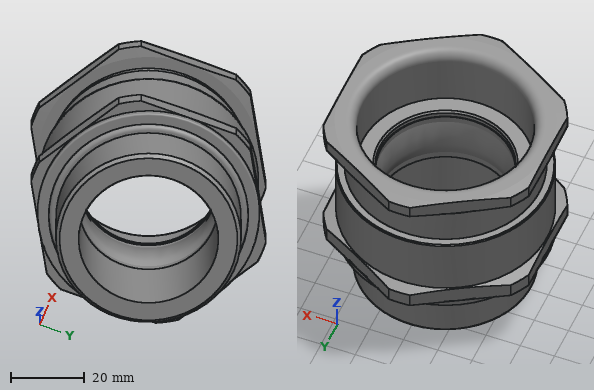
import cadquery as cq
import math

total_height = 57.75
across_corners = 66.0
across_flats = 60.0
flat_radius = across_flats / 2
corner_radius = across_corners / 2
tool_clearance = 0.65
thread_radius = 27.4

spigot_radius = 25.0
spigot_length = 16.0
spigot_chamfer = 1.0
flange_top = 17.95
flange_edge_fillet = 0.45
housing_hex_top = 22.9
housing_hex_bevel = 0.85
barrel_radius = 29.7
barrel_top = 40.0
barrel_chamfer = 0.3
bead_ring_radius = 25.8
bead_section_radius = 1.2
bead_height = 15.65

nut_hex_height = 4.4
nut_hex_bevel = 0.45
nut_hex_bottom = total_height - nut_hex_height
neck_radius = 26.65
thread_top = 50.2
nut_bore_radius = 24.0
nut_rim_fillet = 3.0
nut_floor_top = barrel_top
nut_floor_thickness = 1.85
nut_bottom = nut_floor_top - nut_floor_thickness
floor_hole_radius = 19.1
floor_hole_chamfer = 0.5

seal_height = 16.1
seal_bottom = nut_bottom - seal_height
seal_mouth_radius = 18.9
seal_mouth_length = 2.0
seal_waist_radius = 17.9


def cylinder(radius, bottom, top):
    """Solid cylinder about Z between two heights."""
    return cq.Workplane("XY").workplane(offset=bottom).circle(radius).extrude(top - bottom)


def hexagon(bottom, top):
    """Hexagonal prism with two flats facing +X and -X and its corners rounded off."""
    corner_to_corner = across_flats / math.cos(math.radians(30))
    prism = (
        cq.Workplane("XY")
        .workplane(offset=bottom)
        .polygon(6, corner_to_corner)
        .extrude(top - bottom)
        .rotate((0, 0, 0), (0, 0, 1), 30)
    )
    return prism.intersect(cylinder(corner_radius, bottom, top))


def bevel_tool(face_radius, face_height, bevel):
    """Ring that bevels hexagon corners at face_height; a negative bevel works on a lower face."""
    clear_radius = corner_radius + tool_clearance
    slope = bevel / (corner_radius - face_radius)
    return (
        cq.Workplane("XZ")
        .moveTo(face_radius, face_height)
        .lineTo(clear_radius, face_height)
        .lineTo(clear_radius, face_height - slope * (clear_radius - face_radius))
        .close()
        .revolve(360, (0, 0, 0), (0, 1, 0))
    )


def make_bead():
    """Collar round the spigot with a half-round outer edge; its upper part lies inside the flange."""
    return (
        cq.Workplane("XZ")
        .moveTo(0, bead_height - bead_section_radius)
        .lineTo(bead_ring_radius, bead_height - bead_section_radius)
        .threePointArc(
            (bead_ring_radius + bead_section_radius, bead_height),
            (bead_ring_radius, bead_height + bead_section_radius),
        )
        .lineTo(0, bead_height + bead_section_radius)
        .close()
        .revolve(360, (0, 0, 0), (0, 1, 0))
    )


def make_housing():
    """Threaded spigot, bead, flange, hexagon and barrel with a stepped bore."""
    spigot = cylinder(spigot_radius, 0, flange_top).faces("<Z").chamfer(spigot_chamfer)
    flange = cylinder(flat_radius, spigot_length, flange_top).faces("<Z").edges().fillet(flange_edge_fillet)
    hex_section = hexagon(flange_top, housing_hex_top)
    hex_section = hex_section.cut(bevel_tool(barrel_radius, housing_hex_top, housing_hex_bevel))
    barrel = cylinder(barrel_radius, flange_top, barrel_top).faces(">Z").chamfer(barrel_chamfer)
    body = spigot.union(flange).union(hex_section).union(barrel).union(make_bead())
    body = body.cut(cylinder(seal_mouth_radius, 0, seal_bottom))
    return body.cut(cylinder(thread_radius, seal_bottom, barrel_top))


def make_nut():
    """Hexagon head, relief neck and threaded sleeve with a holed floor."""
    head = hexagon(nut_hex_bottom, total_height)
    head = head.cut(bevel_tool(flat_radius, total_height, nut_hex_bevel))
    head = head.cut(bevel_tool(flat_radius, nut_hex_bottom, -nut_hex_bevel))
    neck = cylinder(neck_radius, thread_top, nut_hex_bottom)
    sleeve = cylinder(thread_radius, nut_bottom, thread_top)
    body = head.union(neck).union(sleeve)
    body = body.cut(cylinder(nut_bore_radius, nut_floor_top, total_height))
    body = body.faces(">Z").edges(cq.selectors.RadiusNthSelector(0)).fillet(nut_rim_fillet)
    body = body.cut(cylinder(floor_hole_radius, nut_bottom, nut_floor_top))
    floor_edges = body.faces(cq.selectors.NearestToPointSelector((0, 0, nut_floor_top))).edges()
    return floor_edges.edges(cq.selectors.RadiusNthSelector(0)).chamfer(floor_hole_chamfer)


def make_seal():
    """Rubber sleeve between housing shoulder and nut, with a bore that narrows to a waist."""
    return (
        cq.Workplane("XZ")
        .moveTo(thread_radius, seal_bottom)
        .lineTo(thread_radius, nut_bottom)
        .lineTo(seal_mouth_radius, nut_bottom)
        .lineTo(seal_mouth_radius, nut_bottom - seal_mouth_length)
        .threePointArc(
            (seal_waist_radius, seal_bottom + seal_height / 2),
            (seal_mouth_radius, seal_bottom + seal_mouth_length),
        )
        .lineTo(seal_mouth_radius, seal_bottom)
        .close()
        .revolve(360, (0, 0, 0), (0, 1, 0))
    )


housing = make_housing()
nut = make_nut()
seal = make_seal()

result = cq.Compound.makeCompound([housing.solids().val(), nut.solids().val(), seal.solids().val()])